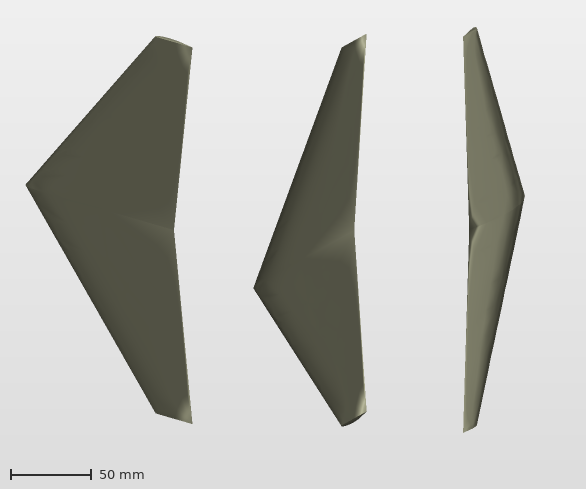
import cadquery as cq

SPAN = 250.0
ROOT_CHORD = 120.0
TIP_CHORD = 30.0
TIP_SWEEP = 105.0

LEADING_EDGE = (0.0, 0.0)
TRAILING_EDGE = (1.0, 0.0)
UPPER_SURFACE = [
    (0.01, 0.019),
    (0.05, 0.046),
    (0.12, 0.068),
    (0.22, 0.085),
    (0.36, 0.091),
    (0.50, 0.086),
    (0.70, 0.060),
    (0.90, 0.023),
]
LOWER_SURFACE = [
    (0.01, -0.015),
    (0.05, -0.028),
    (0.12, -0.030),
    (0.40, -0.021),
    (0.70, -0.010),
]


def airfoil_wire(chord, leading_x, height):
    """Closed airfoil section lying flat at the given height, thickness along Y."""

    def place(point):
        position, offset = point
        return cq.Vector(leading_x + chord * position, chord * offset, height)

    outline = [TRAILING_EDGE, *reversed(UPPER_SURFACE), LEADING_EDGE, *LOWER_SURFACE, TRAILING_EDGE]
    skin = cq.Edge.makeSpline([place(point) for point in outline])
    return cq.Wire.assembleEdges([skin])


def half_wing():
    """Straight-tapered wing panel from the root at Z = 0 up to the tip."""
    root = airfoil_wire(ROOT_CHORD, 0.0, 0.0)
    tip = airfoil_wire(TIP_CHORD, TIP_SWEEP, SPAN / 2)
    return cq.Workplane(obj=cq.Solid.makeLoft([root, tip], True))


upper_half = half_wing()
lower_half = upper_half.mirror("XY")
result = upper_half.union(lower_half)